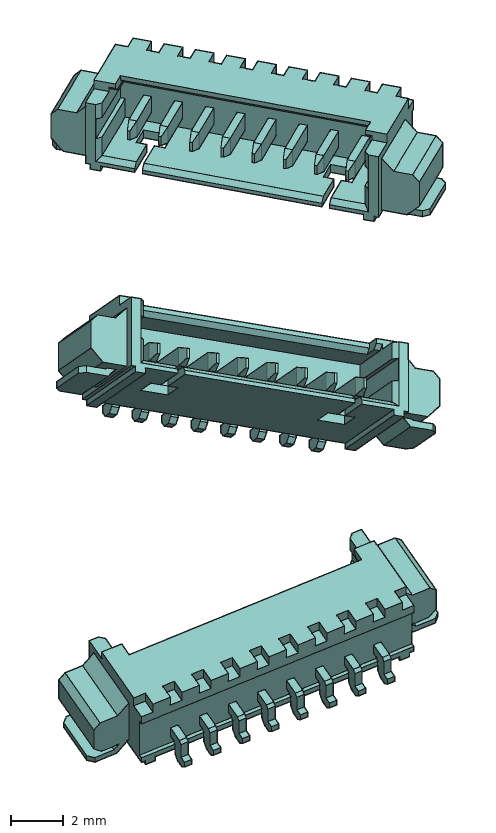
import cadquery as cq
import math


half_width = 5.88
depth = 4.23
height = 3.4
body_bottom = 0.23
foot_outer = 5.7
foot_inner = 5.27

back_recess_depth = 0.15
back_recess_bottom = 0.5
back_recess_top = 2.5

pin_count = 8
pin_span = 8.75
pitch = pin_span / (pin_count - 1)
pin_width = 0.32
blade_bottom = 1.02
blade_top = 1.75
taper_start = 1.2
tip_y = 0.7
tip_width = 0.1
tip_height = 0.41
tail_top = 1.36
tail_bottom = 0.86
leg_back = 4.91
leg_front = 4.41
toe_end = 5.2
toe_top = 0.5
toe_chamfer = 0.21
knee_chamfer = 0.12
inner_bend_chamfer = 0.14

cavity_half_width = 5.27
cavity_floor = 0.59
cavity_ceiling = 3.0
cavity_depth = 2.97
mouth_chamfer = 0.2
groove_depth = 0.18
groove_bottom = 1.44
groove_top = 2.33

cheek_front = 1.02
roof_front = 1.62
roof_notch_half_width = 5.01

back_notch_width = 0.5
back_notch_depth = 0.62
back_notch_height = 0.47

slot_width = 0.3
slot_bar_width = 1.15
slot_bar_front = 1.45
slot_bar_back = 2.35
slot_x = (pin_count - 2) / 2 * pitch

block_front = 0.38
block_back = 3.21
block_outer = 7.4
block_bottom = 0.32
block_top = 2.2
block_lower_chamfer = 0.5
block_upper_chamfer = 0.27
block_shoulder = 0.48
block_edge_cut_depth = 0.23
block_edge_cut_height = 0.17

tab_outer = 7.58
tab_front = 0.9
tab_thickness = 0.27
tab_corner = 0.23
tab_bend_x = 6.41
tab_rise = 0.45
tab_bend_angle = 45

pin_positions = [(i - (pin_count - 1) / 2) * pitch for i in range(pin_count)]


def box(x0, x1, y0, y1, z0, z1):
    """Box between two opposite corners."""
    return cq.Workplane("XY").box(x1 - x0, y1 - y0, z1 - z0, centered=False).translate((x0, y0, z0))


def centred_box(half, y0, y1, z0, z1):
    """Box symmetric about X = 0."""
    return box(-half, half, y0, y1, z0, z1)


def both_sides(shape):
    """The shape together with its mirror image across X = 0."""
    return shape.union(shape.mirror("YZ"))


def mouth_flare():
    """Wedge that chamfers the floor and side edges of the cavity mouth."""
    cavity_height = cavity_ceiling - cavity_floor
    return (
        cq.Workplane("XZ", origin=(0, 0, (cavity_floor + cavity_ceiling) / 2))
        .rect(2 * (cavity_half_width + mouth_chamfer), cavity_height + 2 * mouth_chamfer)
        .workplane(offset=-mouth_chamfer)
        .rect(2 * cavity_half_width, cavity_height)
        .loft(ruled=True)
    )


def roof_edge_flare(y_front, half_span):
    """Chamfer under the front edge of the roof."""
    return (
        cq.Workplane("YZ", origin=(-half_span, 0, 0))
        .moveTo(y_front, cavity_ceiling)
        .lineTo(y_front, cavity_ceiling + mouth_chamfer)
        .lineTo(y_front + mouth_chamfer, cavity_ceiling)
        .close()
        .extrude(2 * half_span)
    )


def make_housing():
    """Shell with feet, cavity, stepped roof and notched back."""
    body = centred_box(half_width, 0, depth, body_bottom, height)
    body = body.union(both_sides(box(foot_inner, foot_outer, 0, depth, 0, cavity_floor)))
    body = body.cut(
        centred_box(half_width, depth - back_recess_depth, depth, back_recess_bottom, back_recess_top)
    )

    body = body.cut(centred_box(half_width, 0, cheek_front, cavity_ceiling, height))
    body = body.cut(centred_box(roof_notch_half_width, 0, roof_front, cavity_ceiling, height))

    body = body.cut(centred_box(cavity_half_width, 0, cavity_depth, cavity_floor, cavity_ceiling))
    body = body.cut(
        centred_box(cavity_half_width + groove_depth, 0, cavity_depth, groove_bottom, groove_top)
    )
    body = body.cut(mouth_flare())
    body = body.cut(roof_edge_flare(cheek_front, cavity_half_width))
    body = body.cut(roof_edge_flare(roof_front, roof_notch_half_width))

    end_notch_x = half_width - back_notch_width / 2
    for x in pin_positions + [-end_notch_x, end_notch_x]:
        notch = centred_box(
            back_notch_width / 2, depth - back_notch_depth, depth, height - back_notch_height, height
        )
        body = body.cut(notch.translate((x, 0, 0)))

    slot = centred_box(slot_width / 2, 0, slot_bar_back, body_bottom, cavity_floor)
    slot = slot.union(
        centred_box(slot_bar_width / 2, slot_bar_front, slot_bar_back, body_bottom, cavity_floor)
    )
    return body.cut(both_sides(slot.translate((slot_x, 0, 0))))


def make_pin():
    """Contact centred on X = 0: tapered blade in the cavity, bent tail behind the housing."""
    blade_height = blade_top - blade_bottom
    blade = centred_box(pin_width / 2, taper_start, cavity_depth, blade_bottom, blade_top)
    tip = (
        cq.Workplane("XZ", origin=(0, taper_start, (blade_bottom + blade_top) / 2))
        .rect(pin_width, blade_height)
        .workplane(offset=taper_start - tip_y)
        .rect(tip_width, tip_height)
        .loft(ruled=True)
    )
    tail = (
        cq.Workplane("YZ", origin=(-pin_width / 2, 0, 0))
        .moveTo(cavity_depth, tail_top)
        .lineTo(leg_back - knee_chamfer, tail_top)
        .lineTo(leg_back, tail_top - knee_chamfer)
        .lineTo(leg_back, toe_top)
        .lineTo(toe_end, toe_top)
        .lineTo(toe_end, toe_chamfer)
        .lineTo(toe_end - toe_chamfer, 0)
        .lineTo(leg_front + toe_chamfer, 0)
        .lineTo(leg_front, toe_chamfer)
        .lineTo(leg_front, tail_bottom - inner_bend_chamfer)
        .lineTo(leg_front - inner_bend_chamfer, tail_bottom)
        .lineTo(cavity_depth, tail_bottom)
        .close()
        .extrude(pin_width)
    )
    return blade.union(tip).union(tail)


def make_side_block():
    """Block on the +X side wall that holds the solder tab."""
    outline = [
        (half_width, block_bottom),
        (block_outer - block_lower_chamfer, block_bottom),
        (block_outer, block_bottom + block_lower_chamfer),
        (block_outer, block_top - block_upper_chamfer),
        (block_outer - block_upper_chamfer, block_top),
        (half_width + block_shoulder, block_top),
        (half_width, block_top + block_shoulder),
    ]
    block = cq.Workplane("XZ", origin=(0, block_back, 0)).polyline(outline).close().extrude(
        block_back - block_front
    )
    edge_cut = (
        cq.Workplane("YZ", origin=(half_width, 0, 0))
        .moveTo(block_back, block_bottom)
        .lineTo(block_back, block_bottom + block_edge_cut_height)
        .lineTo(block_back - block_edge_cut_depth, block_bottom)
        .close()
        .extrude(block_outer - half_width)
    )
    return block.cut(edge_cut)


def make_tab():
    """Solder tab on the +X side: flat plate bent upwards into the block."""
    top_bend_x = tab_bend_x + tab_thickness * math.tan(math.radians(tab_bend_angle / 2))
    run = tab_rise / math.tan(math.radians(tab_bend_angle))
    outline = [
        (tab_outer, 0),
        (tab_bend_x, 0),
        (tab_bend_x - run, tab_rise),
        (top_bend_x - run, tab_thickness + tab_rise),
        (top_bend_x, tab_thickness),
        (tab_outer, tab_thickness),
    ]
    tab = cq.Workplane("XZ", origin=(0, block_back, 0)).polyline(outline).close().extrude(
        block_back - tab_front
    )
    return tab.faces(">X").edges("|Z").chamfer(tab_corner)


result = make_housing()
for x in pin_positions:
    result = result.union(make_pin().translate((x, 0, 0)))
result = result.union(both_sides(make_side_block().union(make_tab())))